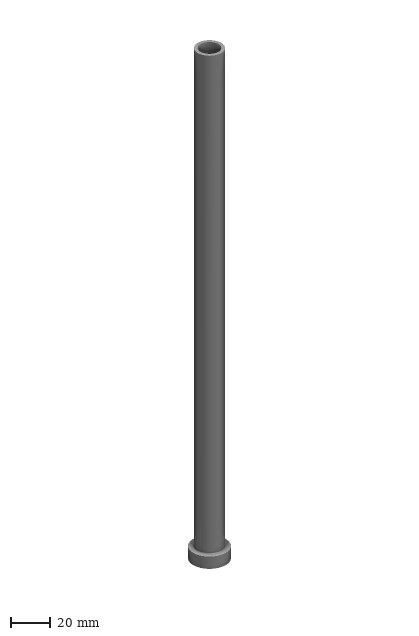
import cadquery as cq

total_length = 300.0
head_diameter = 22.0
head_height = 7.2
tube_diameter = 16.0
bore_diameter = 12.0
root_fillet = 0.5

head = cq.Workplane("XY").circle(head_diameter / 2).extrude(head_height)
tube = cq.Workplane("XY").circle(tube_diameter / 2).extrude(total_length)
sleeve = head.union(tube)

root_edge = cq.selectors.RadiusNthSelector(0)
head_top = sleeve.faces(cq.selectors.NearestToPointSelector((0, 0, head_height)))
sleeve = head_top.edges(root_edge).fillet(root_fillet)

bore = cq.Workplane("XY").circle(bore_diameter / 2).extrude(total_length)
result = sleeve.cut(bore)